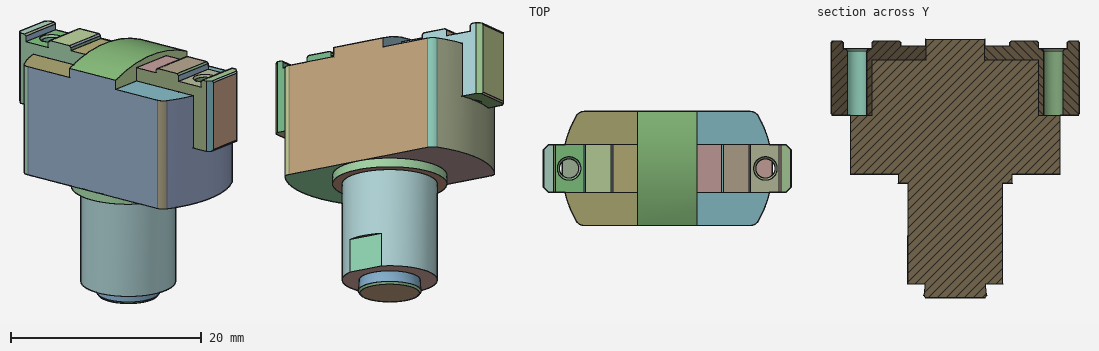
import cadquery as cq


head_width = 12.0
head_height = 12.0
head_end_radius = 11.02
head_corner_radius = 1.0

bridge_half_length = 3.1
bridge_shoulder_height = 1.0
bridge_crown_rise = 1.2
bridge_shoulder_z = head_height + bridge_shoulder_height
bridge_crown_z = bridge_shoulder_z + bridge_crown_rise

flange_diameter = head_width
flange_height = 0.95
stem_diameter = 10.0
stem_length = 10.55
stem_flat_y = 4.6
stem_flat_length = 3.58
stem_end_z = -flange_height - stem_length

tip_neck_radius = 3.2
tip_rim_radius = 3.3
tip_end_radius = 3.12
tip_length = 1.45
tip_chamfer_height = 0.25
tip_end_z = stem_end_z - tip_length
tip_rim_z = tip_end_z + tip_chamfer_height
tip_flare_z = (stem_end_z + tip_rim_z) / 2
tip_flare_radius = tip_neck_radius + (tip_rim_radius - tip_neck_radius) / 4

terminal_width = 5.0
terminal_outer_x = 13.0
terminal_bottom_z = 6.2
terminal_shelf_z = head_height + 1.47
terminal_seat_z = head_height + 1.17
terminal_top_z = head_height + 1.98
ridge_inner_x = 5.7
seat_inner_x = 8.75
seat_outer_x = 11.73
leg_inner_x = seat_inner_x
edge_chamfer = 0.2
leg_face_inset = 0.1
leg_corner_chamfer = 0.55

hole_x = 10.3
hole_diameter = 2.0
hole_mouth_diameter = 2.47
hole_depth = terminal_seat_z - terminal_bottom_z


def z_cylinder(diameter, bottom_z, height):
    """Solid cylinder about the plunger axis."""
    return cq.Workplane("XY").workplane(offset=bottom_z).circle(diameter / 2).extrude(height)


def make_head():
    """Straight-sided block with its ends rounded to one circle."""
    flat_sides = cq.Workplane("XY").box(
        2 * head_end_radius, head_width, head_height, centered=(True, True, False)
    )
    rounded = z_cylinder(2 * head_end_radius, 0, head_height).intersect(flat_sides)
    return rounded.edges("|Z").fillet(head_corner_radius)


def make_bridge():
    """Barrier with an arched top that spans the width of the head."""
    return (
        cq.Workplane("YZ")
        .workplane(offset=-bridge_half_length)
        .moveTo(-head_width / 2, head_height)
        .lineTo(-head_width / 2, bridge_shoulder_z)
        .threePointArc((0, bridge_crown_z), (head_width / 2, bridge_shoulder_z))
        .lineTo(head_width / 2, head_height)
        .close()
        .extrude(2 * bridge_half_length)
    )


def make_stem():
    """Stem with one flat that starts at its free end."""
    flat_cut = (
        cq.Workplane("XY")
        .box(stem_diameter, stem_diameter, stem_flat_length, centered=(True, False, False))
        .translate((0, stem_flat_y, stem_end_z))
    )
    return z_cylinder(stem_diameter, stem_end_z, stem_length).cut(flat_cut)


def make_plunger_tip():
    """Tip that flares smoothly from its neck to a chamfered rim."""
    return (
        cq.Workplane("XZ")
        .moveTo(0, tip_end_z)
        .lineTo(0, stem_end_z)
        .lineTo(tip_neck_radius, stem_end_z)
        .threePointArc((tip_flare_radius, tip_flare_z), (tip_rim_radius, tip_rim_z))
        .lineTo(tip_end_radius, tip_end_z)
        .close()
        .revolve(360, (0, 0, 0), (0, 1, 0))
    )


def make_screw_hole():
    """Cutter for the through hole with a conical mouth, at the +X terminal."""
    mouth_depth = (hole_mouth_diameter - hole_diameter) / 2
    return (
        cq.Workplane("XZ", origin=(hole_x, 0, terminal_seat_z))
        .moveTo(0, 0)
        .lineTo(hole_mouth_diameter / 2, 0)
        .lineTo(hole_diameter / 2, -mouth_depth)
        .lineTo(hole_diameter / 2, -hole_depth)
        .lineTo(0, -hole_depth)
        .close()
        .revolve(360, (0, 0, 0), (0, 1, 0))
    )


def make_leg_slot():
    """Cutter for the slot that takes the leg of the +X terminal in the end of the head."""
    return cq.Workplane("XY").box(
        head_end_radius - leg_inner_x,
        terminal_width,
        head_height - terminal_bottom_z,
        centered=(False, True, False),
    ).translate((leg_inner_x, 0, terminal_bottom_z))


def make_housing():
    """Head, bridge, flange, stem and tip, with a slot for a terminal leg at each end."""
    flange = z_cylinder(flange_diameter, -flange_height, flange_height)
    housing = make_head().union(make_bridge()).union(flange).union(make_stem()).union(make_plunger_tip())
    leg_slot = make_leg_slot()
    return housing.cut(leg_slot).cut(leg_slot.mirror("YZ"))


def make_terminal():
    """Terminal on the +X side: a stepped plate on the head with a leg in the slot at its end."""
    lower_top_z = terminal_top_z - edge_chamfer
    profile = [
        (leg_inner_x, terminal_bottom_z),
        (leg_inner_x, head_height),
        (bridge_half_length, head_height),
        (bridge_half_length, terminal_shelf_z),
        (ridge_inner_x, terminal_shelf_z),
        (ridge_inner_x, lower_top_z),
        (ridge_inner_x + edge_chamfer, terminal_top_z),
        (seat_inner_x - edge_chamfer, terminal_top_z),
        (seat_inner_x, lower_top_z),
        (seat_inner_x, terminal_seat_z),
        (seat_outer_x, terminal_seat_z),
        (seat_outer_x, lower_top_z),
        (seat_outer_x + edge_chamfer, terminal_top_z),
        (terminal_outer_x - leg_face_inset, terminal_top_z),
        (terminal_outer_x, lower_top_z),
        (terminal_outer_x, terminal_bottom_z + edge_chamfer),
        (terminal_outer_x - leg_face_inset, terminal_bottom_z),
    ]
    stepped_block = cq.Workplane("XZ").polyline(profile).close().extrude(terminal_width / 2, both=True)
    plan = (
        cq.Workplane("XY")
        .workplane(offset=terminal_bottom_z)
        .rect(2 * terminal_outer_x, terminal_width)
        .extrude(terminal_top_z - terminal_bottom_z)
        .edges("|Z")
        .chamfer(leg_corner_chamfer)
    )
    return stepped_block.intersect(plan).cut(make_screw_hole())


housing = make_housing()
right_terminal = make_terminal()
terminals = [right_terminal, right_terminal.mirror("YZ")]

result = cq.Compound.makeCompound([housing.val(), *[terminal.val() for terminal in terminals]])